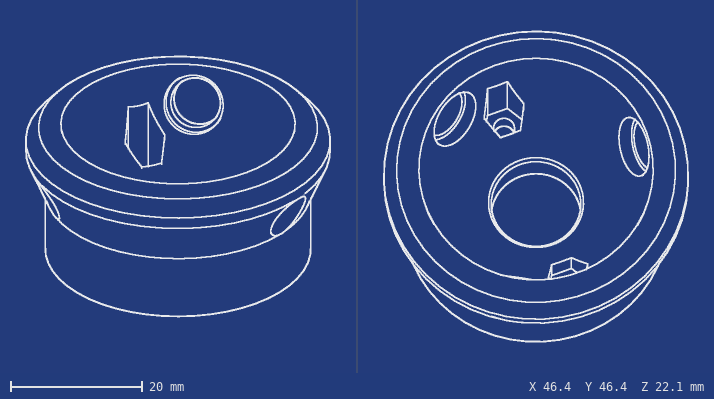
import cadquery as cq
import math

height = 22.1
body_radius = 40.5 / 2
flange_radius = 46.4 / 2
shoulder_radius = 21.25
body_top = 10.25
flare_top = 17.35
band_top = 19.2
shoulder_z = 21.45

bowl_radius = 17.85
bowl_center_z = 22.75
bowl_rim_radius = math.sqrt(bowl_radius**2 - (bowl_center_z - height) ** 2)

floor_hole_radius = 13.65 / 2
countersink_radius = 7.25
countersink_depth = 0.7
countersink_top = bowl_center_z - math.sqrt(bowl_radius**2 - countersink_radius**2)

screw_offset = 13.8
screw_diameter = 3.2
nut_flats = 5.6
nut_seat_z = 3.7

side_hole_diameter = 7.6
side_bore_diameter = 9.1
side_bore_end = 19.5
side_hole_angles = (30, 150, 270)
side_tilt = math.atan2(flange_radius - body_radius, flare_top - body_top)
cut_length = 2 * flange_radius


def outer_body():
    profile = [
        (0, 0),
        (body_radius, 0),
        (body_radius, body_top),
        (flange_radius, flare_top),
        (flange_radius, band_top),
        (shoulder_radius, shoulder_z),
        (bowl_rim_radius, height),
        (0, height),
    ]
    return cq.Workplane("XZ").polyline(profile).close().revolve(360, (0, 0), (0, 1))


def floor_hole():
    profile = [
        (0, 0),
        (floor_hole_radius, 0),
        (floor_hole_radius, countersink_top - countersink_depth),
        (countersink_radius, countersink_top),
        (0, countersink_top),
    ]
    return cq.Workplane("XZ").polyline(profile).close().revolve(360, (0, 0), (0, 1))


def screw_and_nut(x):
    nut_corners = nut_flats / math.cos(math.radians(30))
    screw = cq.Workplane("XY").center(x, 0).circle(screw_diameter / 2).extrude(height)
    nut = (
        cq.Workplane("XY", origin=(x, 0, nut_seat_z))
        .transformed(rotate=(0, 0, 90))
        .polygon(6, nut_corners)
        .extrude(height - nut_seat_z)
    )
    return screw.union(nut)


def side_hole(angle):
    """Stepped hole running outward and down, wider on the bowl side."""
    heading = math.radians(angle)
    direction = (
        math.cos(side_tilt) * math.cos(heading),
        math.cos(side_tilt) * math.sin(heading),
        -math.sin(side_tilt),
    )
    plane = cq.Plane(origin=(0, 0, bowl_center_z), normal=direction)
    hole = cq.Workplane(plane).circle(side_hole_diameter / 2).extrude(cut_length)
    bore = cq.Workplane(plane).circle(side_bore_diameter / 2).extrude(side_bore_end)
    return hole.union(bore)


result = outer_body()
result = result.cut(cq.Workplane("XY", origin=(0, 0, bowl_center_z)).sphere(bowl_radius))
result = result.cut(floor_hole())
for x in (-screw_offset, screw_offset):
    result = result.cut(screw_and_nut(x))
for angle in side_hole_angles:
    result = result.cut(side_hole(angle))